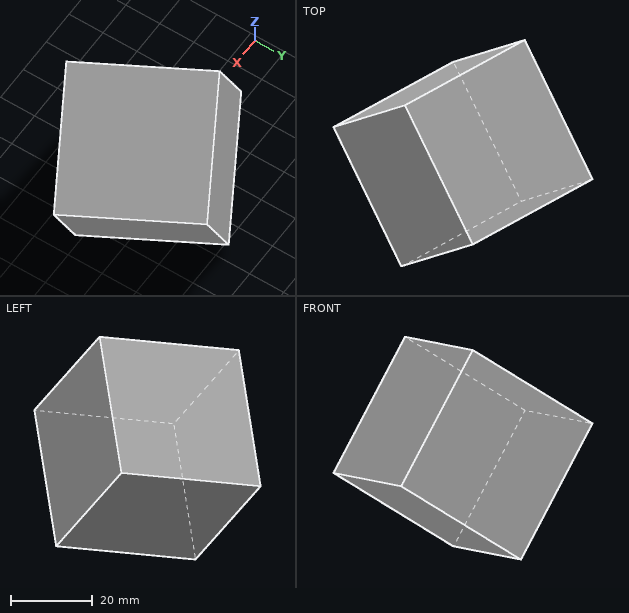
import cadquery as cq

LENGTH = 37.974
WIDTH = 37.854
HEIGHT = 37.966

TURN_ABOUT_X = -28.39
TURN_ABOUT_Y = 4.91
TURN_ABOUT_Z = -64.043

ORIGIN = (0, 0, 0)
X_AXIS = (1, 0, 0)
Y_AXIS = (0, 1, 0)
Z_AXIS = (0, 0, 1)


def upright_block():
    """Block centred on the origin with its faces square to the axes."""
    return cq.Workplane("XY").box(LENGTH, WIDTH, HEIGHT)


def tilt(body):
    """Turn the body about the X, then Y, then Z axis through the origin."""
    return (
        body.rotate(ORIGIN, X_AXIS, TURN_ABOUT_X)
        .rotate(ORIGIN, Y_AXIS, TURN_ABOUT_Y)
        .rotate(ORIGIN, Z_AXIS, TURN_ABOUT_Z)
    )


result = tilt(upright_block())